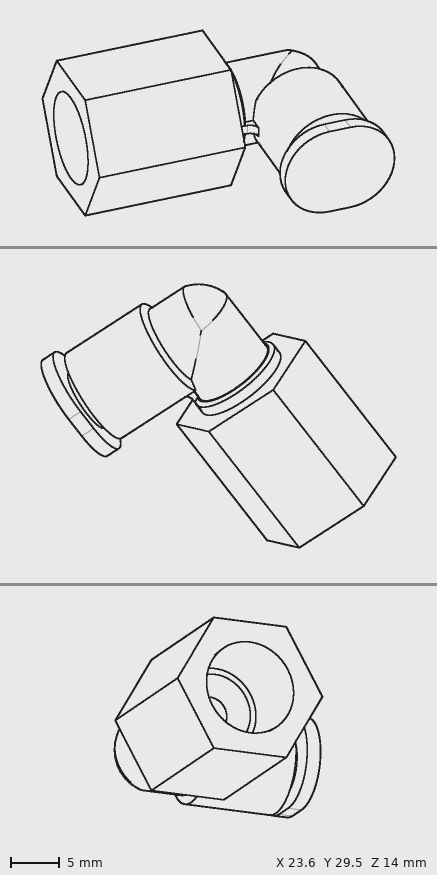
import cadquery as cq
import math


hex_across_flats = 14.0
hex_end_y = -23.5
hex_length = 16.0
hex_top_y = hex_end_y + hex_length

bore_mouth_radius = 4.86
bore_depth = 9.0
thread_taper = 1 / 16
bore_end_radius = bore_mouth_radius - bore_depth * thread_taper / 2
seat_outer_radius = 3.95
seat_inner_radius = 1.85
seat_half_angle = 60.0
seat_depth = (seat_outer_radius - seat_inner_radius) / math.tan(math.radians(seat_half_angle))

ring_radius = 5.0
ring_top_y = -6.1
ring_bevel_width = 0.5
ring_bevel_angle = 30.0
ring_bevel_height = ring_bevel_width * math.tan(math.radians(ring_bevel_angle))

elbow_radius = 4.35
corner_sphere_radius = 4.5

socket_start_x = 3.2
socket_end_x = 13.1
socket_radius = 5.2
socket_bevel_length = 0.45
neck_radius = 3.4

button_start_x = 14.0
button_end_x = 15.5
button_width = 12.0
button_height = 9.7

web_fillet = 0.9
web_thickness = 1.0


def cylinder_along_x(radius, start_x, end_x):
    return cq.Workplane("YZ", origin=(start_x, 0, 0)).circle(radius).extrude(end_x - start_x)


def cylinder_along_y(radius, start_y, end_y):
    return cq.Workplane("XZ", origin=(0, start_y, 0)).circle(radius).extrude(start_y - end_y)


def make_hex_body():
    across_corners = hex_across_flats / math.cos(math.radians(30))
    return cq.Workplane("XZ", origin=(0, hex_top_y, 0)).polygon(6, across_corners).extrude(hex_length)


def make_bore():
    bore_end_y = hex_end_y + bore_depth
    seat_end_y = bore_end_y + seat_depth
    return (
        cq.Workplane("XY")
        .moveTo(0, hex_end_y)
        .lineTo(bore_mouth_radius, hex_end_y)
        .lineTo(bore_end_radius, bore_end_y)
        .lineTo(seat_outer_radius, bore_end_y)
        .lineTo(seat_inner_radius, seat_end_y)
        .lineTo(0, seat_end_y)
        .close()
        .revolve(360, (0, 0, 0), (0, 1, 0))
    )


def make_ring():
    return (
        cq.Workplane("XY")
        .moveTo(0, hex_top_y)
        .lineTo(ring_radius, hex_top_y)
        .lineTo(ring_radius, ring_top_y - ring_bevel_height)
        .lineTo(ring_radius - ring_bevel_width, ring_top_y)
        .lineTo(0, ring_top_y)
        .close()
        .revolve(360, (0, 0, 0), (0, 1, 0))
    )


def make_elbow():
    """Two equal round legs meeting at a 45 degree mitre, with a spherical outer corner."""
    leg_y = cylinder_along_y(elbow_radius, 0, hex_top_y)
    leg_x = cylinder_along_x(elbow_radius, 0, socket_end_x)
    mitre = cylinder_along_y(elbow_radius, elbow_radius, -elbow_radius).intersect(
        cylinder_along_x(elbow_radius, -elbow_radius, elbow_radius)
    )
    rounded_mitre = mitre.intersect(cq.Workplane("XY").sphere(corner_sphere_radius))
    return leg_y.union(leg_x).union(rounded_mitre)


def make_socket():
    """Turned socket body with a bevelled shoulder, plus the neck behind the button."""
    body = (
        cq.Workplane("XY")
        .moveTo(socket_start_x, 0)
        .lineTo(socket_start_x, elbow_radius)
        .lineTo(socket_start_x + socket_bevel_length, socket_radius)
        .lineTo(socket_end_x, socket_radius)
        .lineTo(socket_end_x, 0)
        .close()
        .revolve(360, (0, 0, 0), (1, 0, 0))
    )
    return body.union(cylinder_along_x(neck_radius, socket_end_x, button_start_x))


def make_button():
    return (
        cq.Workplane("YZ", origin=(button_start_x, 0, 0))
        .slot2D(button_width, button_height)
        .extrude(button_end_x - button_start_x)
    )


def make_web():
    """Flat web in the inner corner, flush with the ring and blended into the socket."""
    web_end_x = ring_radius + web_fillet
    fillet_start_y = -socket_radius - web_fillet
    fillet_reach = web_fillet * math.cos(math.radians(45))
    fillet_middle = (web_end_x - fillet_reach, fillet_start_y + fillet_reach)
    return (
        cq.Workplane("XY")
        .moveTo(0, 0)
        .lineTo(0, hex_top_y)
        .lineTo(ring_radius, hex_top_y)
        .lineTo(ring_radius, fillet_start_y)
        .threePointArc(fillet_middle, (web_end_x, -socket_radius))
        .lineTo(web_end_x, 0)
        .close()
        .extrude(web_thickness / 2, both=True)
    )


result = (
    make_hex_body()
    .cut(make_bore())
    .union(make_ring())
    .union(make_elbow())
    .union(make_socket())
    .union(make_button())
    .union(make_web())
)